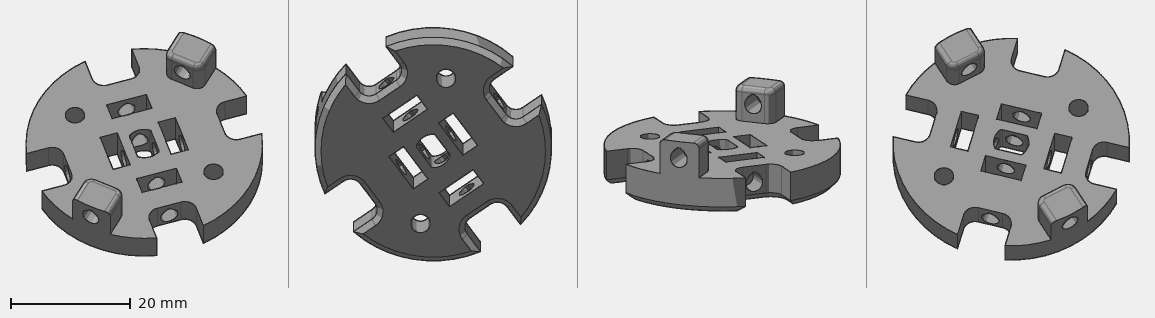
import cadquery as cq
import math

overall_width = 38.65
notch_width = 8.2
disc_radius = math.hypot(overall_width / 2, notch_width / 2)
disc_height = 6.0
bottom_chamfer = 1.0

notch_floor_radius = 13.5
notch_corner_radius = 2.0

slot_length = 7.0
slot_width = 3.0
slot_offset_x = 8.08
slot_offset_y = 5.1

centre_hole_diameter = 5.87
centre_hole_flats = 3.8
centre_hole_corner_radius = 0.4

screw_hole_diameter = 3.2
screw_hole_circle_radius = 13.0
screw_hole_angle = 45
screw_hole_count = 2

post_angles = (135, 315)
post_height = 6.0
post_width = 7.05
post_inner_radius = 14.0
post_corner_radius = 1.5
post_top_fillet = 0.95

bore_radius = 1.5
bore_round_end_angle = 36
bore_shoulder = (0.9, 1.35)
bore_roof_half_width = 0.25
bore_roof_height = 1.85
base_bore_height = 3.0
post_bore_height = disc_height + base_bore_height

top_height = disc_height + post_height
cut_length = 2 * overall_width


def make_base():
    """Notched disc with its whole lower outline chamfered."""
    base = cq.Workplane("XY").circle(disc_radius).extrude(disc_height)
    notch_length = disc_radius
    for angle in (0, 90, 180, 270):
        notch = (
            cq.Workplane("XY")
            .box(notch_length, notch_width, disc_height, centered=(False, True, False))
            .edges("|Z and <X")
            .fillet(notch_corner_radius)
            .translate((notch_floor_radius, 0, 0))
            .rotate((0, 0, 0), (0, 0, 1), angle)
        )
        base = base.cut(notch)
    return base.faces("<Z").edges().chamfer(bottom_chamfer)


def make_post(angle):
    """Post with rounded inner corners and top, its outer face following the rim."""
    block = (
        cq.Workplane("XY")
        .box(disc_radius, post_width, top_height, centered=(False, True, False))
        .edges("|Z and <X")
        .fillet(post_corner_radius)
        .faces(">Z")
        .edges("not >X")
        .fillet(post_top_fillet)
        .translate((post_inner_radius, 0, 0))
    )
    rim = (
        cq.Workplane("XY")
        .workplane(offset=bottom_chamfer)
        .circle(disc_radius)
        .extrude(top_height)
    )
    return block.intersect(rim).rotate((0, 0, 0), (0, 0, 1), angle)


def make_vertical_holes():
    """Slots, double-D hole and round holes, all passing through the disc."""
    level = cq.Workplane("XY")
    holes = (
        level.circle(centre_hole_diameter / 2)
        .extrude(disc_height)
        .intersect(level.box(cut_length, centre_hole_flats, cut_length))
        .edges("|Z")
        .fillet(centre_hole_corner_radius)
    )
    for side in (-1, 1):
        holes = holes.union(
            level.center(0, side * slot_offset_y).rect(slot_length, slot_width).extrude(disc_height)
        )
        holes = holes.union(
            level.center(side * slot_offset_x, 0).rect(slot_width, slot_length).extrude(disc_height)
        )
    screw_holes = (
        level.polarArray(screw_hole_circle_radius, screw_hole_angle, 360, screw_hole_count)
        .circle(screw_hole_diameter / 2)
        .extrude(disc_height)
    )
    return holes.union(screw_holes)


def make_bore(height, angle):
    """Roofed bore across the whole part, through the centre at the given angle."""
    end_angle = math.radians(bore_round_end_angle)
    round_x = bore_radius * math.cos(end_angle)
    round_z = bore_radius * math.sin(end_angle)
    shoulder_x, shoulder_z = bore_shoulder
    return (
        cq.Workplane("YZ")
        .moveTo(-round_x, round_z)
        .threePointArc((0, -bore_radius), (round_x, round_z))
        .lineTo(shoulder_x, shoulder_z)
        .lineTo(bore_roof_half_width, bore_roof_height)
        .lineTo(-bore_roof_half_width, bore_roof_height)
        .lineTo(-shoulder_x, shoulder_z)
        .close()
        .extrude(cut_length / 2, both=True)
        .translate((0, 0, height))
        .rotate((0, 0, 0), (0, 0, 1), angle)
    )


result = make_base()
for post_angle in post_angles:
    result = result.union(make_post(post_angle))
result = result.cut(make_vertical_holes())
for bore_angle in (0, 90):
    result = result.cut(make_bore(base_bore_height, bore_angle))
result = result.cut(make_bore(post_bore_height, post_angles[0]))